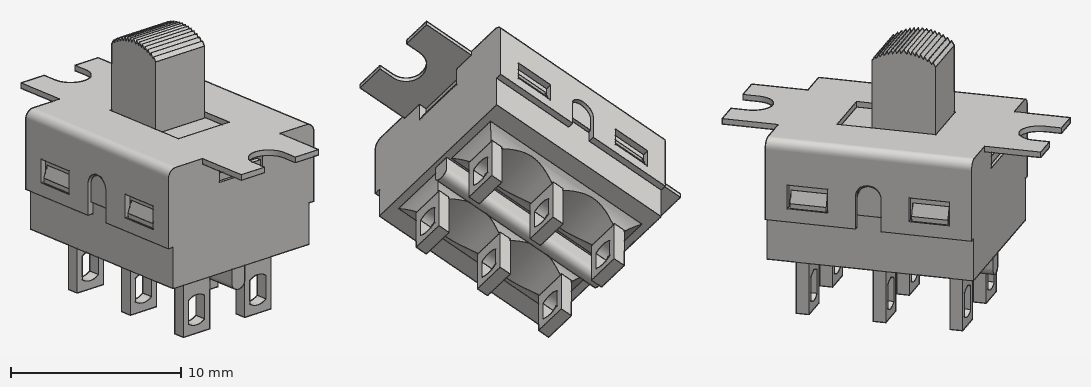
import cadquery as cq
import math


overall_length = 19.56
cover_length = 12.67
cover_width = 11.42
cover_height = 5.0
wall_thickness = 0.37
sheet_thickness = 0.35
bend_radius = 0.59
tab_width = 6.06
notch_diameter = 2.4
notch_depth = 2.2
opening_length = 6.06
opening_width = 4.0

body_width = cover_width - 2 * wall_thickness
body_bottom = -7.63

window_offset = 3.74
window_width = 2.48
window_top = -2.7
window_bottom = -4.19
catch_width = 2.23
catch_top = -3.13
catch_edge = -3.9
catch_height = 0.25

slot_width = 1.58
slot_top = -2.21
key_side_gap = 0.05
key_top_gap = 0.12
key_height = 0.2

recess_width = 3.36
recess_step = -1.37
recess_bottom = -1.85
recess_upper_depth = 0.5
recess_lower_depth = 0.2

knob_length = 3.91
knob_width = 3.83
knob_gap = 0.04
knob_top = 5.09
knob_shoulder = 4.2
tooth_count = 15
tooth_pitch = 0.25
tooth_depth = 0.25
tooth_lean = 0.068
crown_radius = 2.9
root_radius = 3.29

terminal_pitch = 4.71
row_offset = 2.4
terminal_thickness = 0.78
terminal_width = 2.07
terminal_bottom = -11.58
eye_width = 1.25
eye_top = -9.13
eye_bottom = -11.05
eye_rise = 0.22
seal_depth = 0.55
seal_middle_depth = 0.15
seal_bow_depth = 0.22
seal_end_reach = 1.11
seal_half_width = 1.78
seal_half_tip = 0.95
rail_length = 12.19
rail_width = 1.02
rail_bottom = -9.13
rail_radius = 0.49

terminal_places = [-terminal_pitch, 0, terminal_pitch]


def block(length, width, bottom, top, x=0, y=0):
    """Box centred on (x, y) that spans the heights bottom to top."""
    return cq.Workplane("XY").box(length, width, top - bottom).translate((x, y, (top + bottom) / 2))


def on_both_sides(solid, plane):
    """The solid together with its mirror image."""
    return solid.union(solid.mirror(plane))


def make_cover():
    cover = block(cover_length, cover_width, -cover_height, 0).edges("|X and >Z").fillet(bend_radius)
    cover = cover.union(block(overall_length, tab_width, -sheet_thickness, 0))
    notch = (
        cq.Workplane("XY")
        .center(overall_length / 2, 0)
        .slot2D(2 * notch_depth, notch_diameter)
        .extrude(-sheet_thickness)
    )
    return cover.cut(on_both_sides(notch, "YZ"))


def make_arch(width, bottom, top):
    """Closed round-topped outline on the -Y face of the body."""
    radius = width / 2
    return (
        cq.Workplane("XZ", origin=(0, -body_width / 2, 0))
        .moveTo(-radius, bottom)
        .lineTo(-radius, top - radius)
        .threePointArc((0, top), (radius, top - radius))
        .lineTo(radius, bottom)
        .close()
    )


def make_wall_openings():
    wall_middle = -(body_width + wall_thickness) / 2
    openings = make_arch(slot_width, -cover_height, slot_top).extrude(wall_thickness)
    for side in (-1, 1):
        x = side * window_offset
        window = block(window_width, wall_thickness, window_bottom, window_top, x, wall_middle)
        openings = openings.union(window)
    return on_both_sides(openings, "XZ")


def make_catches():
    """Ramped catches in the windows and rounded keys in the slots."""
    key_width = slot_width - 2 * key_side_gap
    catches = make_arch(key_width, window_bottom, slot_top - key_top_gap).extrude(key_height)
    face = -body_width / 2
    for side in (-1, 1):
        catch = (
            cq.Workplane("YZ", origin=(side * window_offset, 0, 0))
            .moveTo(face, catch_top)
            .lineTo(face - catch_height, catch_edge)
            .lineTo(face - catch_height, window_bottom)
            .lineTo(face, window_bottom)
            .close()
            .extrude(catch_width / 2, both=True)
        )
        catches = catches.union(catch)
    return on_both_sides(catches, "XZ")


def make_end_recesses():
    end = cover_length / 2
    upper_x = end - recess_upper_depth / 2
    lower_x = end - recess_lower_depth / 2
    upper = block(recess_upper_depth, recess_width, recess_step, -sheet_thickness, upper_x)
    lower = block(recess_lower_depth, recess_width, recess_bottom, recess_step, lower_x)
    return on_both_sides(upper.union(lower), "YZ")


def drop(radius, x):
    """How far an arc falls below its top at a distance x from its middle."""
    return radius - math.sqrt(radius**2 - x**2)


def make_knob():
    """Knob with a crowned grip whose teeth lean towards the middle."""
    half = []
    for i in range(1, tooth_count // 2 + 1):
        peak = i * tooth_pitch
        valley = peak - tooth_lean
        half.append((valley, knob_top - tooth_depth - drop(root_radius, valley)))
        half.append((peak, knob_top - drop(crown_radius, peak)))
    half.append((knob_length / 2, knob_shoulder))
    half.append((knob_length / 2, -sheet_thickness))
    left = [(-x, z) for x, z in reversed(half)]
    centre = -opening_length / 2 + knob_gap + knob_length / 2
    return (
        cq.Workplane("XZ", origin=(centre, 0, 0))
        .polyline(left + [(0, knob_top)] + half)
        .close()
        .extrude(knob_width / 2, both=True)
    )


def make_terminal():
    """Flat terminal with an eye that has bowed ends, standing on the Z axis."""
    eye = (
        cq.Workplane("YZ")
        .moveTo(-eye_width / 2, eye_bottom + eye_rise)
        .threePointArc((0, eye_bottom), (eye_width / 2, eye_bottom + eye_rise))
        .lineTo(eye_width / 2, eye_top - eye_rise)
        .threePointArc((0, eye_top), (-eye_width / 2, eye_top - eye_rise))
        .close()
        .extrude(terminal_thickness, both=True)
    )
    return block(terminal_thickness, terminal_width, terminal_bottom, body_bottom).cut(eye)


def make_seal():
    """Sealing compound drawn up around a row of terminals and sagging between them."""
    half_thickness = terminal_thickness / 2
    tip = body_bottom - seal_depth
    sag_z = body_bottom - seal_middle_depth
    bow_z = body_bottom - seal_bow_depth
    inner = terminal_pitch - half_thickness
    outer = terminal_pitch + half_thickness
    end = terminal_pitch + seal_end_reach
    bow_x = (outer + end) / 2
    along = (
        cq.Workplane("XZ")
        .moveTo(-end, body_bottom)
        .threePointArc((-bow_x, bow_z), (-outer, tip))
        .lineTo(-inner, tip)
        .threePointArc((-terminal_pitch / 2, sag_z), (-half_thickness, tip))
        .lineTo(half_thickness, tip)
        .threePointArc((terminal_pitch / 2, sag_z), (inner, tip))
        .lineTo(outer, tip)
        .threePointArc((bow_x, bow_z), (end, body_bottom))
        .close()
        .extrude(seal_half_width, both=True)
    )
    bow_y = (seal_half_width + seal_half_tip) / 2
    across = (
        cq.Workplane("YZ")
        .moveTo(-seal_half_width, body_bottom)
        .threePointArc((-bow_y, bow_z), (-seal_half_tip, tip))
        .lineTo(seal_half_tip, tip)
        .threePointArc((bow_y, bow_z), (seal_half_width, body_bottom))
        .close()
        .extrude(end, both=True)
    )
    return along.intersect(across)


def make_terminal_row():
    row = make_seal()
    for x in terminal_places:
        row = row.union(make_terminal().translate((x, 0, 0)))
    return row.translate((0, row_offset, 0))


def make_rail():
    return block(rail_length, rail_width, rail_bottom, body_bottom).edges("|X and <Z").fillet(rail_radius)


body = block(cover_length, body_width, body_bottom, -cover_height)
knob_opening = block(opening_length, opening_width, -sheet_thickness, 0)

result = make_cover().cut(make_wall_openings())
result = result.union(body).union(make_catches())
result = result.cut(make_end_recesses())
result = result.cut(knob_opening).union(make_knob())
result = result.union(on_both_sides(make_terminal_row(), "XZ")).union(make_rail())